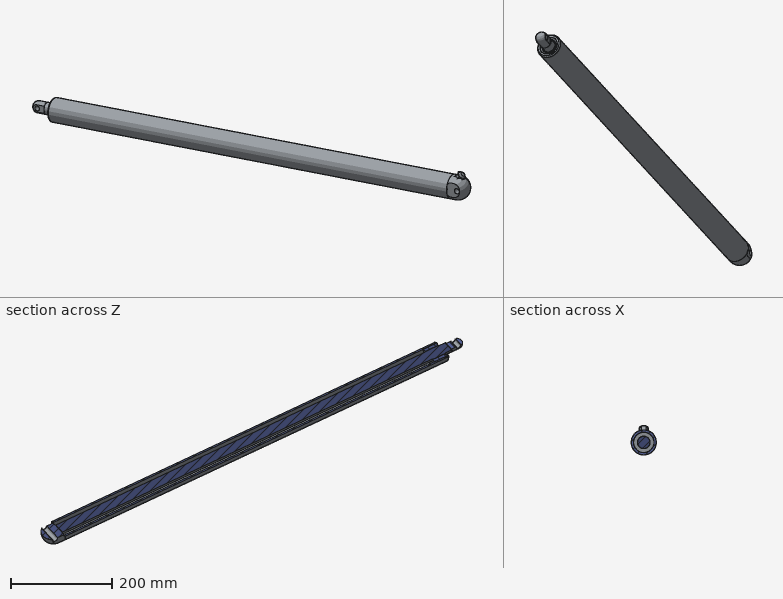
import cadquery as cq
import math


total_length = 992.75
gland_face_x = 45.0
collar_length = 3.0
tube_start_x = gland_face_x + collar_length
cap_length = 37.5
tube_end_x = total_length - cap_length

barrel_dia = 50.0
barrel_bore = 40.0
end_fitting_dia = 49.8
collar_chamfer = 2.4
spigot_length = 30.0

counterbore_dia = 36.75
counterbore_depth = 1.5
lip_dia = 29.75
lip_depth = 1.5

rod_dia = 25.0
eye_thickness = 20.0
rod_start_x = 30.5
eye_hole_x = 14.0
eye_hole_dia = 10.15

cap_radius = end_fitting_dia / 2
dome_center_x = total_length - cap_radius
cap_flat_width = 40.0
cap_flat_start_x = total_length - 30.2
cap_flat_runout_radius = 11.0
cap_hole_x = 976.25
cap_hole_dia = 11.0

port_tilt = math.radians(45.0)
port_hex_width = 15.0
port_cone_dia = 18.8
port_tip_dia = 9.8
port_cone_height = (port_cone_dia - port_tip_dia) / 2
port_body_length = 14.6
port_shoulder_offset_x = 7.7
port_shoulder_z = 26.9


def cylinder_x(diameter, start_x, end_x):
    """Solid cylinder on the X axis."""
    return cq.Workplane("YZ").workplane(offset=start_x).circle(diameter / 2).extrude(end_x - start_x)


def cylinder_y(diameter, center_x):
    """Cross-pin cylinder along Y, long enough to pass through the barrel diameter."""
    return cq.Workplane("XZ").center(center_x, 0).circle(diameter / 2).extrude(barrel_dia, both=True)


def make_tube():
    """Plain barrel between the gland collar and the base cap."""
    barrel = cylinder_x(barrel_dia, tube_start_x, tube_end_x)
    return barrel.cut(cylinder_x(barrel_bore, tube_start_x, tube_end_x))


def make_gland():
    """Collar against the tube end, with a spigot inside the tube and a stepped rod opening."""
    spigot_end_x = tube_start_x + spigot_length
    lip_x = gland_face_x + counterbore_depth
    collar = cylinder_x(end_fitting_dia, gland_face_x, tube_start_x)
    collar = collar.edges("<X").chamfer(collar_chamfer)
    spigot = cylinder_x(barrel_bore, tube_start_x, spigot_end_x)
    counterbore = cylinder_x(counterbore_dia, gland_face_x, lip_x)
    lip_recess = cylinder_x(lip_dia, lip_x, lip_x + lip_depth)
    rod_bore = cylinder_x(rod_dia, gland_face_x, spigot_end_x)
    return collar.union(spigot).cut(counterbore).cut(lip_recess).cut(rod_bore)


def domed_bar(radius, flat_end_x, tip_x):
    """Round bar along X from a flat end to a hemispherical tip."""
    inward = math.copysign(1, flat_end_x - tip_x)
    diagonal = radius * math.sqrt(0.5)
    center_x = tip_x + inward * radius
    return (
        cq.Workplane("XY")
        .moveTo(flat_end_x, 0)
        .lineTo(flat_end_x, radius)
        .lineTo(center_x, radius)
        .threePointArc((center_x - inward * diagonal, diagonal), (tip_x, 0))
        .close()
        .revolve(360, (0, 0, 0), (1, 0, 0))
    )


def make_eye():
    """Rod eye with a hemispherical tip, two flats and a cross hole."""
    eye = domed_bar(rod_dia / 2, rod_start_x, 0)
    blank = cq.Workplane("XY").box(rod_start_x, eye_thickness, rod_dia, centered=(False, True, True))
    return eye.intersect(blank).cut(cylinder_y(eye_hole_dia, eye_hole_x))


def port_plane():
    """Plane of the port shoulder, its normal along the tilted port axis."""
    return cq.Plane(
        origin=(dome_center_x + port_shoulder_offset_x, 0, port_shoulder_z),
        xDir=(0, 1, 0),
        normal=(math.sin(port_tilt), 0, math.cos(port_tilt)),
    )


def make_port_body():
    """Hexagonal prism running from the shoulder down into the cap."""
    across_corners = port_hex_width / math.cos(math.pi / 6)
    return cq.Workplane(port_plane()).polygon(6, across_corners).extrude(-port_body_length)


def make_port():
    """Hexagonal body with a truncated cone on its shoulder."""
    cone = cq.Workplane(port_plane()).circle(port_cone_dia / 2).workplane(offset=port_cone_height)
    cone = cone.circle(port_tip_dia / 2).loft()
    return make_port_body().union(cone)


def make_cap():
    """Domed base cap with two flats that curve out to the barrel, a cross hole and the port seat."""
    cap = domed_bar(cap_radius, tube_end_x, total_length)
    flat_y = cap_flat_width / 2
    runout_length = cap_flat_start_x - tube_end_x
    runout_rise = cap_flat_runout_radius - math.sqrt(cap_flat_runout_radius**2 - runout_length**2)
    side_cut = (
        cq.Workplane("XY")
        .moveTo(total_length, flat_y)
        .lineTo(cap_flat_start_x, flat_y)
        .radiusArc((tube_end_x, flat_y + runout_rise), cap_flat_runout_radius)
        .lineTo(tube_end_x, barrel_dia)
        .lineTo(total_length, barrel_dia)
        .close()
        .extrude(barrel_dia, both=True)
    )
    cap = cap.cut(side_cut).cut(side_cut.mirror("XZ"))
    return cap.cut(cylinder_y(cap_hole_dia, cap_hole_x)).cut(make_port())


tube = make_tube()
gland = make_gland()
rod = cylinder_x(rod_dia, rod_start_x, tube_end_x)
eye = make_eye()
cap = make_cap()
port = make_port()

result = cq.Compound.makeCompound(
    [tube.val(), gland.val(), rod.val(), eye.val(), cap.val(), port.val()]
)